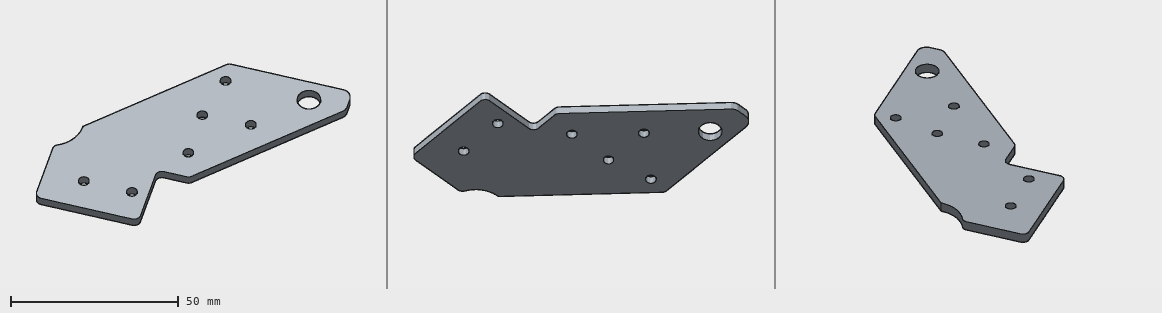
import cadquery as cq
import math

length = 80.0
height = 65.0
thickness = 3.0
leg_width = 32.3
leg_height = 20.0
arm_bottom_x = 42.2
upper_edge_rise = 23.5
corner_radius = 2.0
tip_radius = 3.0

relief_x = -3.4
relief_y = 29.6
relief_radius = 9.7

hole_pitch = 15.0
leg_hole_x = 12.4
leg_hole_y = 9.9
arm_hole_x = 39.4
arm_hole_y = 29.0
side_hole_x = 54.3
side_hole_y = 44.4
top_hole_x = 42.4
tip_hole_x = 68.3
top_row_y = height - 6.6
hole_diameter = 3.2
arm_hole_diameter = 3.1
tip_hole_diameter = 7.0


def relief_point(angle):
    """Point on the relief circle at an angle in radians."""
    return (
        relief_x + relief_radius * math.cos(angle),
        relief_y + relief_radius * math.sin(angle),
    )


def drill(plate, points, diameter):
    """Cut through holes at the given points."""
    drills = cq.Workplane("XY").pushPoints(points).circle(diameter / 2).extrude(thickness)
    return plate.cut(drills)


left_angle = -math.acos(-relief_x / relief_radius)
center_offset = (relief_x + upper_edge_rise - relief_y) / math.sqrt(2)
slope_angle = math.pi / 4 + math.asin(center_offset / relief_radius)
relief_start = relief_point(slope_angle)
relief_middle = relief_point((slope_angle + left_angle) / 2)
relief_end = relief_point(left_angle)

tip_lower = (length, leg_height + length - arm_bottom_x)
tip_upper = (length, height)
arm_top = (height - upper_edge_rise, height)

plate = (
    cq.Workplane("XY")
    .lineTo(leg_width, 0)
    .lineTo(leg_width, leg_height)
    .lineTo(arm_bottom_x, leg_height)
    .lineTo(*tip_lower)
    .lineTo(*tip_upper)
    .lineTo(*arm_top)
    .lineTo(*relief_start)
    .threePointArc(relief_middle, relief_end)
    .close()
    .extrude(thickness)
)

tip_edges = cq.selectors.BoxSelector(
    (length - 0.8, 0, 0), (length + 0.8, height + 0.8, thickness)
)
other_edges = cq.selectors.BoxSelector(
    (-0.8, -0.8, 0), (arm_bottom_x + 0.8, height + 0.8, thickness)
)
sharp_edge = cq.selectors.BoxSelector(
    (relief_start[0] - 0.8, relief_start[1] - 0.8, 0),
    (relief_start[0] + 0.8, relief_start[1] + 0.8, thickness),
)
plate = plate.edges("|Z").edges(tip_edges).fillet(tip_radius)
plate = plate.edges("|Z").edges(other_edges - sharp_edge).fillet(corner_radius)

leg_holes = [(leg_hole_x + i * hole_pitch, leg_hole_y) for i in range(2)]
arm_holes = [(arm_hole_x, arm_hole_y + i * hole_pitch) for i in range(2)]
outer_holes = [(side_hole_x, side_hole_y), (top_hole_x, top_row_y)]
plate = drill(plate, leg_holes + outer_holes, hole_diameter)
plate = drill(plate, arm_holes, arm_hole_diameter)

plate = drill(plate, [(tip_hole_x, top_row_y)], tip_hole_diameter)

result = plate